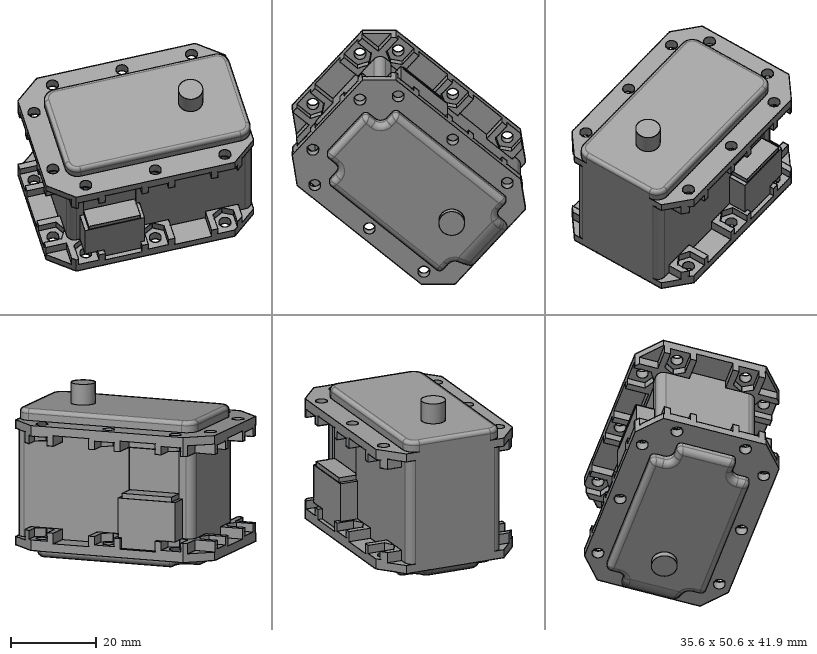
import cadquery as cq

flange_width = 35.6
flange_length = 50.6
flange_height = 4.55
plate_thickness = 2.0
flange_corner_x = 5.1
flange_corner_y = 5.95
flange_span = 29.95

rim = 5.6
body_width = flange_width - 2 * rim
body_length = flange_length - rim
body_corner_radius = 1.9
back_y = flange_length / 2
front_y = back_y - body_length
body_center_y = (back_y + front_y) / 2
half_body_width = body_width / 2

hole_diameter = 2.8
hole_margin = rim / 2
side_hole_pitch = 16.95
side_hole_x = flange_width / 2 - hole_margin
middle_hole_y = 0.7
side_hole_ys = [middle_hole_y + step * side_hole_pitch for step in (-1, 0, 1)]
front_hole_y = -flange_length / 2 + hole_margin
front_hole_x = side_hole_pitch / 2

seat_half_width = 4.0
nut_across_flats = 4.95
nut_depth = 2.0

cover_height = 2.7
cover_corner_radius = 3.0
cover_edge_radius = 1.0
shaft_diameter = 5.75
shaft_length = 4.95
shaft_y = 13.35

bottom_height = 2.75
bottom_edge_radius = 1.5
notch_size = 5.0
notch_inner_radius = 1.95
notch_mouth_radius = 1.05
slope_blend_radius = 4.5
pivot_diameter = 6.05
pivot_length = 1.5

connector_span = 33.4
connector_top = 14.0
connector_front_y = -16.9
connector_width = 14.5
connector_center_y = connector_front_y + connector_width / 2
step_inset = 0.125
step_span = connector_span - 2 * step_inset
step_height = 1.15
step_width = 12.55
recess_width = 12.75
recess_depth = 0.5


def box_between(x_min, x_max, y_min, y_max, z_min, z_max):
    size = (x_max - x_min, y_max - y_min, z_max - z_min)
    return cq.Workplane("XY").box(*size, centered=False).translate((x_min, y_min, z_min))


def body_block(z_min, height, corner_radius):
    block = cq.Workplane("XY", origin=(0, body_center_y, z_min)).rect(body_width, body_length).extrude(height)
    return block.edges("|Z").fillet(corner_radius)


def flange_outline(height):
    half_x = flange_width / 2
    half_y = flange_length / 2
    inner_x = half_x - flange_corner_x
    inner_y = half_y - flange_corner_y
    points = [
        (half_x, -inner_y), (half_x, inner_y), (inner_x, half_y), (-inner_x, half_y),
        (-half_x, inner_y), (-half_x, -inner_y), (-inner_x, -half_y), (inner_x, -half_y),
    ]
    return cq.Workplane("XY").polyline(points).close().extrude(height)


def nut_pocket(x, y, outward_angle):
    """Hexagon with a corner toward the body, open to the plate edge."""
    corner_radius = nut_across_flats / 3 ** 0.5
    half_flats = nut_across_flats / 2
    points = [
        (-corner_radius, 0), (-corner_radius / 2, -half_flats), (2 * hole_margin, -half_flats),
        (2 * hole_margin, half_flats), (-corner_radius / 2, half_flats),
    ]
    pocket = cq.Workplane("XY").polyline(points).close().extrude(nut_depth)
    pocket = pocket.rotate((0, 0, 0), (0, 0, 1), outward_angle)
    return pocket.translate((x, y, flange_height - nut_depth))


def screw_cuts():
    """Nut pockets and screw holes of the lower flange."""
    side_holes = [(side * side_hole_x, y) for side in (-1, 1) for y in side_hole_ys]
    front_holes = [(side * front_hole_x, front_hole_y) for side in (-1, 1)]
    holes = cq.Workplane("XY").pushPoints(side_holes + front_holes).circle(hole_diameter / 2)
    cuts = holes.extrude(flange_height)
    for x, y in side_holes:
        cuts = cuts.union(nut_pocket(x, y, 0 if x > 0 else 180))
    for x, y in front_holes:
        cuts = cuts.union(nut_pocket(x, y, -90))
    return cuts


def lower_flange():
    """Plate with raised seats, lying on Z = 0 with the seats upward."""
    outline = flange_outline(flange_height)
    half_x = flange_width / 2
    half_y = flange_length / 2
    seats = box_between(-half_x, half_x, -half_y, -half_y + rim, 0, flange_height)
    for y in side_hole_ys:
        seats = seats.union(
            box_between(-half_x, half_x, y - seat_half_width, y + seat_half_width, 0, flange_height)
        )
    middle_gap = front_hole_x - seat_half_width
    seats = seats.cut(
        box_between(-middle_gap, middle_gap, -half_y, half_y, plate_thickness, flange_height)
    )
    corner_x = front_hole_x + seat_half_width
    corner_y = side_hole_ys[0] - seat_half_width
    for x_min, x_max in ((-half_x, -corner_x), (corner_x, half_x)):
        seats = seats.cut(box_between(x_min, x_max, -half_y, corner_y, plate_thickness, flange_height))
    flange = flange_outline(plate_thickness).union(outline.intersect(seats))
    return flange.cut(screw_cuts())


def top_cover():
    cover = body_block(flange_span, cover_height, cover_corner_radius)
    return cover.faces(">Z").edges().fillet(cover_edge_radius)


def edge_zone(x_range, y, z_range):
    """Selector for edges lying near one Y position."""
    reach = 0.05
    low = (x_range[0] - reach, y - reach, z_range[0] - reach)
    high = (x_range[1] + reach, y + reach, z_range[1] + reach)
    return cq.selectors.BoxSelector(low, high)


def bottom_cover():
    """Cover with a notch in each corner and a 45 degree slope blended into its +Y end."""
    slope_end_y = back_y - bottom_height
    depth_range = (-bottom_height, 0)
    profile = [(front_y, 0), (back_y, 0), (slope_end_y, -bottom_height), (front_y, -bottom_height)]
    cover = cq.Workplane("YZ").polyline(profile).close().extrude(half_body_width, both=True)
    slope_foot = edge_zone((-half_body_width, half_body_width), slope_end_y, (-bottom_height, -bottom_height))
    cover = cover.edges(slope_foot).fillet(slope_blend_radius)

    notch = cq.Workplane("XY").rect(2 * notch_size, 2 * notch_size).extrude(-bottom_height)
    notch = notch.edges("|Z").fillet(notch_inner_radius)
    for side in (-1, 1):
        for y in (front_y, back_y):
            cover = cover.cut(notch.translate((side * half_body_width, y, 0)))

    mouths = [
        (half_body_width - notch_size, front_y),
        (half_body_width, front_y + notch_size),
        (half_body_width, back_y - notch_size),
    ]
    for x, y in mouths:
        for side in (-1, 1):
            mouth_edge = edge_zone((side * x, side * x), y, depth_range)
            cover = cover.edges(mouth_edge).fillet(notch_mouth_radius)
    return cover.faces("<Z").edges().fillet(bottom_edge_radius)


def connector_recesses():
    floor_x = half_body_width - recess_depth
    y_min = connector_center_y - recess_width / 2
    y_max = connector_center_y + recess_width / 2
    z_max = flange_span - flange_height
    recess = box_between(-half_body_width, -floor_x, y_min, y_max, flange_height, z_max)
    return recess.union(recess.mirror("YZ"))


def connectors():
    """Both connectors as one bar through the body, stepped on top and clear of the nut pockets."""
    def bar(span, width, z_min, z_max):
        y_min = connector_center_y - width / 2
        return box_between(-span / 2, span / 2, y_min, y_min + width, z_min, z_max)

    step = bar(step_span, step_width, connector_top, connector_top + step_height)
    housing = bar(connector_span, connector_width, plate_thickness, connector_top)
    return housing.union(step).cut(screw_cuts())


def round_post(diameter, z_min, z_max):
    return cq.Workplane("XY", origin=(0, shaft_y, z_min)).circle(diameter / 2).extrude(z_max - z_min)


lower = lower_flange()
upper = lower.mirror("XY").translate((0, 0, flange_span))
cover_top = flange_span + cover_height

result = (
    body_block(0, flange_span, body_corner_radius)
    .cut(connector_recesses())
    .union(connectors())
    .union(lower)
    .union(upper)
    .union(top_cover())
    .union(bottom_cover())
    .union(round_post(shaft_diameter, cover_top, cover_top + shaft_length))
    .union(round_post(pivot_diameter, -bottom_height - pivot_length, -bottom_height))
)